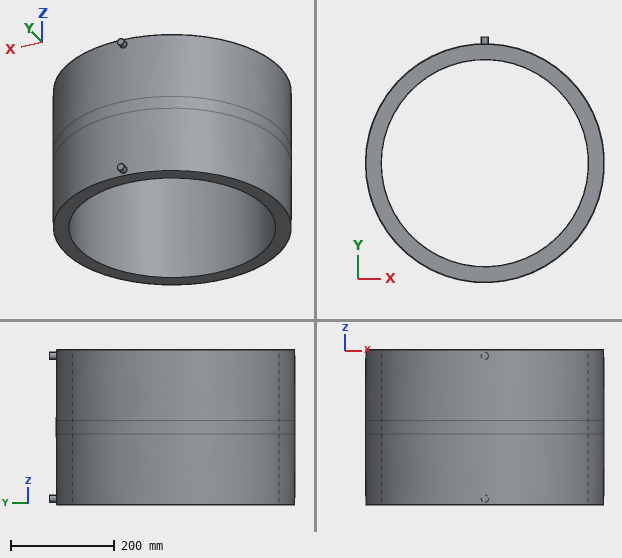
import cadquery as cq

height = 300.0
bore_radius = 200.0
middle_radius = 231.0
end_radius = 230.0
band_height = 26.0

pin_diameter = 14.0
pin_tip_y = 244.26
pin_end_distance = 12.0
pin_root_y = (bore_radius + end_radius) / 2

band_bottom = (height - band_height) / 2
band_top = band_bottom + band_height

arc_middle_radius = middle_radius - (middle_radius - end_radius) / 4
lower_arc_middle = (-arc_middle_radius, band_bottom / 2)
upper_arc_middle = (-arc_middle_radius, (band_top + height) / 2)


def make_sleeve():
    """Revolve the wall section, drawn on the -X side, about the Z axis."""
    section = (
        cq.Workplane("XZ")
        .moveTo(-bore_radius, 0)
        .lineTo(-end_radius, 0)
        .threePointArc(lower_arc_middle, (-middle_radius, band_bottom))
        .lineTo(-middle_radius, band_top)
        .threePointArc(upper_arc_middle, (-end_radius, height))
        .lineTo(-bore_radius, height)
        .close()
    )
    return section.revolve(360, (0, 0, 0), (0, 1, 0))


def make_pin(axis_height):
    """Round pin pointing along +Y, rooted in the sleeve wall."""
    root_plane = cq.Plane(origin=(0, pin_root_y, axis_height), xDir=(0, 0, 1), normal=(0, 1, 0))
    return cq.Workplane(root_plane).circle(pin_diameter / 2).extrude(pin_tip_y - pin_root_y)


result = make_sleeve()
for axis_height in (pin_end_distance, height - pin_end_distance):
    result = result.union(make_pin(axis_height))